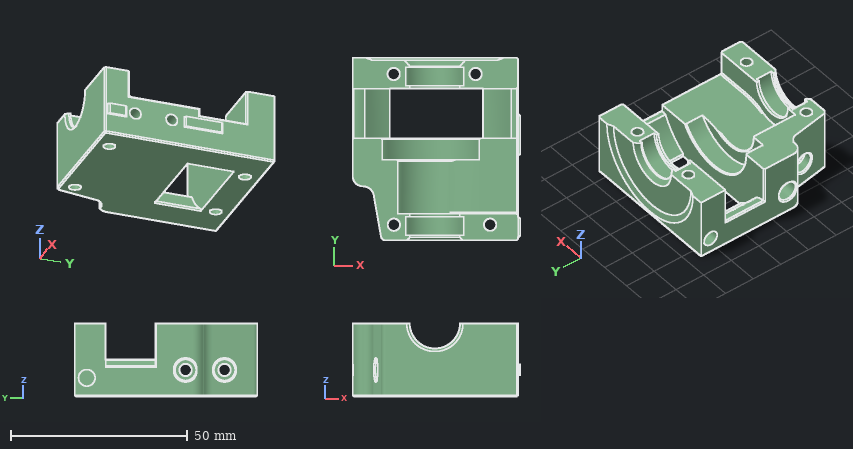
import cadquery as cq
import math


LENGTH = 51.9
HEIGHT = 20.8
LEFT_X = -23.35
RIGHT_X = 23.6
EDGE_CHAMFER = 0.4

STEP_Y = 15.3
STEP_RADIUS = 3.0
FRONT_CORNER_RADIUS = 1.35
SIDE_LEAN = math.radians(10)

BORE_RADIUS = 7.1
SEAT_RADIUS = 8.2
FRONT_SEAT = (1.45, 6.7)
REAR_SEAT = (43.85, 49.1)
FRONT_BORE_CHAMFER = 0.9
REAR_CONE_RADIUS = 8.6
REAR_CONE_DEPTH = 1.6
REAR_RECESS_RADIUS = 17.65
REAR_RECESS_RIM = 19.65
REAR_RECESS_DEPTH = 0.85

FRONT_WALL_Y = 7.6
STEP_FACE_Y = 22.85
SLOT_FRONT_Y = 29.05
SLOT_REAR_Y = 43.05
SMALL_CHAMBER_RADIUS = 10.5
LARGE_CHAMBER_RADIUS = 14.95
RIM_CHAMFER = 0.2

DECK_Z = -7.95
DECK_EDGE_X = 12.6
DECK_FOOT_X = 3.8

WHEEL_X = 0.2
WHEEL_RADIUS = 23.9
SLOT_LEFT_Z = -12.05
SLOT_RIGHT_Z = -10.15
SLOT_LEFT_X = -19.9
SLOT_RIGHT_X = 21.7
WINDOW_LEFT_X = -12.75
WINDOW_RIGHT_X = 13.6

SCREW_DIAMETER = 3.4
CLAMP_SCREWS = [(-11.65, 47.2), (11.55, 47.2), (-11.6, 4.45), (15.65, 4.45)]
HEAD_DIAMETER = 6.0
HEAD_SEAT_X = -13.25
HEAD_CHAMFER = 0.4
CROSS_SCREW_Z = -13.25
UPPER_SCREW_Y = 20.4
LOWER_SCREW_Y = 9.35
BLIND_DIAMETER = 4.7
BLIND_DEPTH = 5.2
BLIND_Y = 48.4
BLIND_Z = -15.45

PAD_THICKNESS = 0.7
PAD_BASE = 0.2
PAD_HEIGHT = 3.1
PAD_SPANS = [(0.95, 6.6), (24.1, 35.75)]

CLEAR = 2.6


def leaning_side_x(y):
    """X of the leaning left side at a given Y."""
    top_y = STEP_Y - STEP_RADIUS * (1 - math.sin(SIDE_LEAN))
    top_x = LEFT_X + STEP_RADIUS * (1 + math.cos(SIDE_LEAN))
    return top_x + (top_y - y) * math.tan(SIDE_LEAN)


def block():
    sin_lean = math.sin(SIDE_LEAN)
    cos_lean = math.cos(SIDE_LEAN)
    side_top_y = STEP_Y - STEP_RADIUS * (1 - sin_lean)
    side_foot_y = FRONT_CORNER_RADIUS * (1 - sin_lean)
    side_foot_x = leaning_side_x(side_foot_y)
    body = (
        cq.Workplane("XY", origin=(0, 0, -HEIGHT))
        .moveTo(LEFT_X, LENGTH)
        .lineTo(LEFT_X, STEP_Y + STEP_RADIUS)
        .radiusArc((LEFT_X + STEP_RADIUS, STEP_Y), -STEP_RADIUS)
        .radiusArc((leaning_side_x(side_top_y), side_top_y), STEP_RADIUS)
        .lineTo(side_foot_x, side_foot_y)
        .radiusArc((side_foot_x + FRONT_CORNER_RADIUS * cos_lean, 0), -FRONT_CORNER_RADIUS)
        .lineTo(RIGHT_X, 0)
        .lineTo(RIGHT_X, LENGTH)
        .close()
        .extrude(HEIGHT)
    )
    body = body.edges("|Z and >X").chamfer(EDGE_CHAMFER)
    return body.faces("<Z").edges().chamfer(EDGE_CHAMFER)


def shaft_cavity():
    """Bore, bearing seats, round gear chambers and end recesses, turned about the shaft axis."""
    recess_floor_y = LENGTH - REAR_RECESS_DEPTH
    profile = [
        (0, 0),
        (BORE_RADIUS + FRONT_BORE_CHAMFER, 0),
        (BORE_RADIUS, FRONT_BORE_CHAMFER),
        (BORE_RADIUS, FRONT_SEAT[0]),
        (SEAT_RADIUS, FRONT_SEAT[0]),
        (SEAT_RADIUS, FRONT_SEAT[1]),
        (BORE_RADIUS, FRONT_SEAT[1]),
        (BORE_RADIUS, FRONT_WALL_Y),
        (SMALL_CHAMBER_RADIUS, FRONT_WALL_Y),
        (SMALL_CHAMBER_RADIUS, STEP_FACE_Y - EDGE_CHAMFER),
        (SMALL_CHAMBER_RADIUS + RIM_CHAMFER, STEP_FACE_Y),
        (LARGE_CHAMBER_RADIUS, STEP_FACE_Y),
        (LARGE_CHAMBER_RADIUS, SLOT_FRONT_Y - EDGE_CHAMFER),
        (LARGE_CHAMBER_RADIUS + RIM_CHAMFER, SLOT_FRONT_Y),
        (BORE_RADIUS, SLOT_FRONT_Y),
        (BORE_RADIUS, REAR_SEAT[0]),
        (SEAT_RADIUS, REAR_SEAT[0]),
        (SEAT_RADIUS, REAR_SEAT[1]),
        (BORE_RADIUS, REAR_SEAT[1]),
        (BORE_RADIUS, recess_floor_y - REAR_CONE_DEPTH),
        (REAR_CONE_RADIUS, recess_floor_y),
        (REAR_RECESS_RADIUS, recess_floor_y),
        (REAR_RECESS_RIM, LENGTH),
        (0, LENGTH),
    ]
    return cq.Workplane("XY").polyline(profile).close().revolve(360, (0, 0), (0, 1))


def deck_outline(y, lift):
    """Section of the space above the deck: flat at right, then rolling down to the small chamber."""
    foot_z = -math.sqrt(SMALL_CHAMBER_RADIUS**2 - DECK_FOOT_X**2)
    return (
        cq.Workplane("XZ", origin=(0, y, lift))
        .moveTo(DECK_FOOT_X, CLEAR)
        .lineTo(RIGHT_X + CLEAR, CLEAR)
        .lineTo(RIGHT_X + CLEAR, DECK_Z)
        .lineTo(DECK_EDGE_X, DECK_Z)
        .tangentArcPoint((DECK_FOOT_X, foot_z), relative=False)
        .close()
    )


def deck_space():
    """Space above the deck; a small bevel fills the corner at the front wall."""
    bevel_y = FRONT_WALL_Y + EDGE_CHAMFER
    main = deck_outline(bevel_y, 0).extrude(bevel_y - SLOT_FRONT_Y)
    wires = [deck_outline(bevel_y, 0).val(), deck_outline(FRONT_WALL_Y, EDGE_CHAMFER).val()]
    bevel = cq.Workplane(cq.Solid.makeLoft(wires, True))
    return main.union(bevel)


def wheel_slot():
    """Slot across the block with a round trough between two rolled side sills."""
    left_z = -math.sqrt(WHEEL_RADIUS**2 - (SLOT_LEFT_X - WHEEL_X) ** 2)
    right_z = -math.sqrt(WHEEL_RADIUS**2 - (SLOT_RIGHT_X - WHEEL_X) ** 2)
    width = SLOT_REAR_Y - SLOT_FRONT_Y
    trough = (
        cq.Workplane("XZ", origin=(0, SLOT_REAR_Y, 0))
        .moveTo(LEFT_X - CLEAR, CLEAR)
        .lineTo(LEFT_X - CLEAR, SLOT_LEFT_Z)
        .lineTo(LEFT_X, SLOT_LEFT_Z)
        .tangentArcPoint((SLOT_LEFT_X, left_z), relative=False)
        .threePointArc((WHEEL_X, -WHEEL_RADIUS), (SLOT_RIGHT_X, right_z))
        .lineTo(RIGHT_X, SLOT_RIGHT_Z)
        .lineTo(RIGHT_X + CLEAR, SLOT_RIGHT_Z)
        .lineTo(RIGHT_X + CLEAR, CLEAR)
        .close()
        .extrude(width)
    )
    window = (
        cq.Workplane("XY", origin=(WINDOW_LEFT_X, SLOT_FRONT_Y, -HEIGHT - CLEAR))
        .box(WINDOW_RIGHT_X - WINDOW_LEFT_X, width, HEIGHT, centered=False)
    )
    return trough.union(window)


def mouth_bevel(side_x, front_y, rear_y, floor_z, bevel_rear):
    """Cutter that bevels the edges where an open-topped cutout meets a side face."""
    inward = 1 if side_x < 0 else -1
    low_y = front_y - EDGE_CHAMFER
    high_y = rear_y + EDGE_CHAMFER if bevel_rear else rear_y
    low_z = floor_z - EDGE_CHAMFER
    high_z = HEIGHT
    return (
        cq.Workplane("YZ", origin=(side_x, (low_y + high_y) / 2, (low_z + high_z) / 2))
        .rect(high_y - low_y, high_z - low_z)
        .extrude(inward * EDGE_CHAMFER, taper=45)
    )


def clamp_screw_holes():
    return (
        cq.Workplane("XY", origin=(0, 0, -HEIGHT))
        .pushPoints(CLAMP_SCREWS)
        .circle(SCREW_DIAMETER / 2)
        .extrude(HEIGHT)
    )


def rod_along_x(diameter, start_x, end_x, y, z):
    return (
        cq.Workplane("YZ", origin=(start_x, y, z))
        .circle(diameter / 2)
        .extrude(end_x - start_x)
    )


def cross_screw_hole(y, mouth_x, lean):
    """Screw hole through the block with a head recess, bevelled square to its mouth face."""
    hole = rod_along_x(SCREW_DIAMETER, LEFT_X, RIGHT_X, y, CROSS_SCREW_Z)
    recess = rod_along_x(HEAD_DIAMETER, LEFT_X, HEAD_SEAT_X, y, CROSS_SCREW_Z)
    inward = cq.Vector(math.cos(lean), math.sin(lean), 0)
    mouth = cq.Vector(mouth_x, y, CROSS_SCREW_Z)
    mouth_radius = HEAD_DIAMETER / 2 + HEAD_CHAMFER
    bevel = cq.Solid.makeCone(mouth_radius, HEAD_DIAMETER / 2, HEAD_CHAMFER, mouth, inward)
    return hole.union(recess).union(cq.Workplane(bevel))


def side_pad(front_y, rear_y):
    """Raised bar on the right side, with sloping ends."""
    inner_x = RIGHT_X - EDGE_CHAMFER
    outer_x = RIGHT_X + PAD_THICKNESS
    slope = PAD_THICKNESS - PAD_BASE
    profile = [
        (inner_x, front_y),
        (RIGHT_X + PAD_BASE, front_y),
        (outer_x, front_y + slope),
        (outer_x, rear_y - slope),
        (RIGHT_X + PAD_BASE, rear_y),
        (inner_x, rear_y),
    ]
    return (
        cq.Workplane("XY", origin=(0, 0, CROSS_SCREW_Z - PAD_HEIGHT / 2))
        .polyline(profile)
        .close()
        .extrude(PAD_HEIGHT)
    )


result = block()
for cutter in (
    shaft_cavity(),
    deck_space(),
    wheel_slot(),
    mouth_bevel(LEFT_X, SLOT_FRONT_Y, SLOT_REAR_Y, SLOT_LEFT_Z, False),
    mouth_bevel(RIGHT_X, SLOT_FRONT_Y, SLOT_REAR_Y, SLOT_RIGHT_Z, True),
    mouth_bevel(RIGHT_X, FRONT_WALL_Y, SLOT_FRONT_Y, DECK_Z, True),
    clamp_screw_holes(),
    cross_screw_hole(UPPER_SCREW_Y, LEFT_X, 0),
    cross_screw_hole(LOWER_SCREW_Y, leaning_side_x(LOWER_SCREW_Y), SIDE_LEAN),
    rod_along_x(BLIND_DIAMETER, LEFT_X, LEFT_X + BLIND_DEPTH, BLIND_Y, BLIND_Z),
):
    result = result.cut(cutter)
for span in PAD_SPANS:
    result = result.union(side_pad(*span))